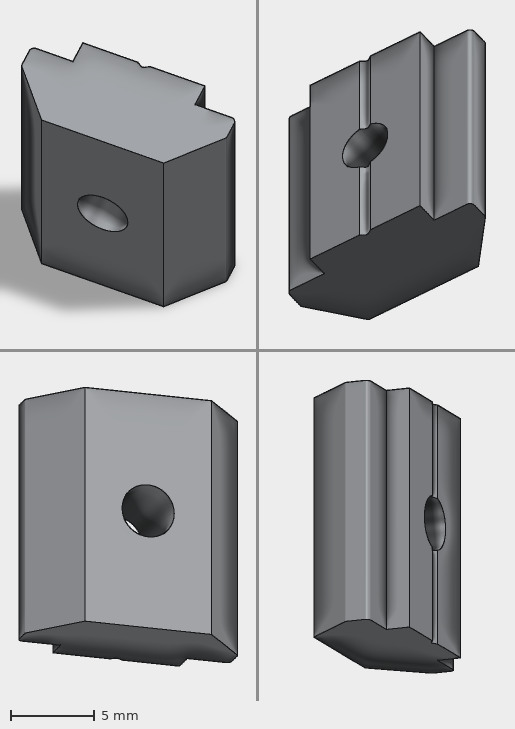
import cadquery as cq

width = 13.4
depth = 6.2
length = 14.8

neck_width = 7.98
neck_height = 1.5
flank_depth = 3.21
shoulder_radius = 0.33
flank_radius = 0.25

groove_width = 0.8
groove_depth = 0.27
groove_radius = 0.25

hole_diameter = 3.29

front_y = -depth / 2
rear_y = depth / 2
shoulder_y = rear_y - neck_height
flank_y = front_y + flank_depth


def make_body():
    """T-slot profile, drawn from +X to -X and extruded along Z."""
    half_outline = [
        (neck_width / 2, front_y),
        (width / 2, flank_y),
        (width / 2, shoulder_y),
        (neck_width / 2, shoulder_y),
        (neck_width / 2, rear_y),
        (groove_width / 2, rear_y),
    ]
    groove_bottom = (0, rear_y - groove_depth)
    mirrored_half = [(-x, y) for x, y in reversed(half_outline)]
    outline = half_outline + [groove_bottom] + mirrored_half
    return cq.Workplane("XY").polyline(outline).close().extrude(length / 2, both=True)


def round_edge(body, x, y, radius):
    """Round the long edge that passes through (x, y)."""
    return body.edges(cq.selectors.NearestToPointSelector((x, y, 0))).fillet(radius)


def make_hole():
    """Round cutter passing through the middle of the part along Y."""
    return cq.Workplane("XZ").circle(hole_diameter / 2).extrude(depth, both=True)


body = make_body()
for side_x in (-width / 2, width / 2):
    body = round_edge(body, side_x, shoulder_y, shoulder_radius)
    body = round_edge(body, side_x, flank_y, flank_radius)
body = round_edge(body, 0, rear_y - groove_depth, groove_radius)
result = body.cut(make_hole())